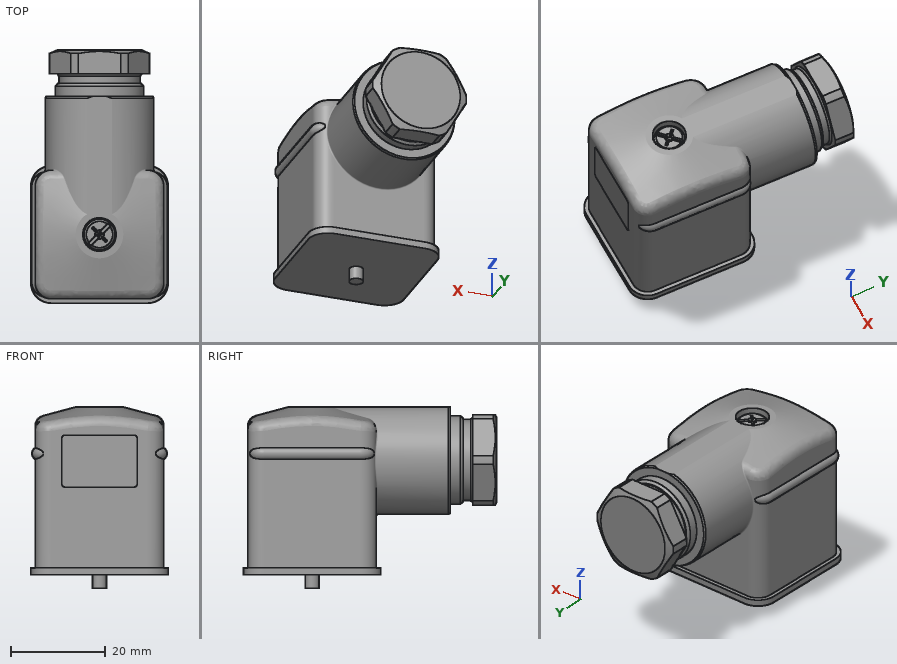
import cadquery as cq
import math


GASKET_WIDTH = 29.2
GASKET_THICKNESS = 1.5

BLOCK_WIDTH = 27.3
BLOCK_HALF = BLOCK_WIDTH / 2
BLOCK_CORNER_RADIUS = 3.45
TOP_Z = 35.65
ROOF_FLAT_RADIUS = 5.05
ROOF_SLOPE = 15.0
ROOF_EDGE_FILLET = 2.25
GASKET_CORNER_RADIUS = BLOCK_CORNER_RADIUS + (GASKET_WIDTH - BLOCK_WIDTH) / 2

SLEEVE_RADIUS = 11.55
SLEEVE_FLAT_WIDTH = 5.25
SLEEVE_END_Y = 29.35
SLEEVE_CHAMFER_LENGTH = 0.5
SLEEVE_CHAMFER_DEPTH = 0.2
SLEEVE_ROOT_FILLET = 0.25
GLAND_AXIS_Z = TOP_Z - math.sqrt(SLEEVE_RADIUS**2 - (SLEEVE_FLAT_WIDTH / 2) ** 2)

RIB_RADIUS = 1.4
RIB_Z = 25.75
RIB_PROTRUSION = 0.7
RIB_HALF_LENGTH = BLOCK_HALF - BLOCK_CORNER_RADIUS
RIB_AXIS_X = BLOCK_HALF + RIB_PROTRUSION - RIB_RADIUS
RIB_BEND_RADIUS = 1.65

LABEL_WIDTH = 16.05
LABEL_HEIGHT = 11.05
LABEL_CENTER_Z = 24.15
LABEL_THICKNESS = 0.25
LABEL_CORNER_RADIUS = 0.8

SHANK_RADIUS = 1.5
SHANK_END_Z = -2.85
HEAD_RADIUS = 3.3
HEAD_CHAMFER = 0.5
HEAD_HEIGHT = 2.15
HEAD_RECESS_DEPTH = 0.85
HEAD_HOLE_RADIUS = 3.55
HEAD_TOP_Z = TOP_Z - HEAD_RECESS_DEPTH
HEAD_SEAT_Z = HEAD_TOP_Z - HEAD_HEIGHT
SLOT_LENGTH = 5.9
SLOT_WIDTH = 0.8
SLOT_DEPTH = 0.75
SLOT_ANGLE = 45.0
CROSS_LENGTH = 4.2
CROSS_WIDTH = 0.5
CROSS_TAPER = 10.0
DRIVE_CENTER_RADIUS = 0.95
DRIVE_TIP_RADIUS = 0.25
DRIVE_DEPTH = 1.35

GLAND_END_Y = 53.75 - GASKET_WIDTH / 2
HEX_ACROSS_FLATS = 19.25
HEX_CORNER_RADIUS = 10.615
HEX_LENGTH = 5.1
HEX_FACE_RADIUS = 8.9
HEX_CHAMFER_LENGTH = 0.75
NECK_RADIUS = 8.65
NECK_CONE_RADIUS = 9.0
NECK_CONE_LENGTH = 0.45
NECK_LENGTH = 1.55
COLLAR_RADIUS = 9.4
COLLAR_CHAMFER_RADIUS = 8.85
COLLAR_CHAMFER_LENGTH = 0.65
GLAND_INSERT_DEPTH = 5.4
GLAND_INNER_Y = SLEEVE_END_Y - GLAND_INSERT_DEPTH


def z_cylinder(radius, z_low, z_high):
    return cq.Workplane("XY").workplane(offset=z_low).circle(radius).extrude(z_high - z_low)


def y_revolve(profile):
    """Turn a (radius, y) profile about the gland axis."""
    return (
        cq.Workplane("XY", origin=(0, 0, GLAND_AXIS_Z))
        .polyline(profile)
        .close()
        .revolve(360, (0, 0, 0), (0, 1, 0))
    )


def rounded_square(width, corner_radius, z_low, z_high):
    return (
        cq.Workplane("XY")
        .workplane(offset=z_low)
        .rect(width, width)
        .extrude(z_high - z_low)
        .edges("|Z")
        .fillet(corner_radius)
    )


def make_gasket():
    plate = rounded_square(GASKET_WIDTH, GASKET_CORNER_RADIUS, 0, GASKET_THICKNESS)
    return plate.cut(z_cylinder(SHANK_RADIUS, 0, GASKET_THICKNESS))


def make_block():
    """Rounded block under a conical roof with a blended roof edge."""
    roof_radius = BLOCK_WIDTH
    roof_eave_z = TOP_Z - (roof_radius - ROOF_FLAT_RADIUS) * math.tan(math.radians(ROOF_SLOPE))
    roof = (
        cq.Workplane("XZ")
        .polyline([
            (0, 0),
            (roof_radius, 0),
            (roof_radius, roof_eave_z),
            (ROOF_FLAT_RADIUS, TOP_Z),
            (0, TOP_Z),
        ])
        .close()
        .revolve(360, (0, 0, 0), (0, 1, 0))
    )
    block = rounded_square(BLOCK_WIDTH, BLOCK_CORNER_RADIUS, GASKET_THICKNESS, TOP_Z).intersect(roof)
    roof_edges = cq.selectors.BoxSelector(
        (-BLOCK_WIDTH, -BLOCK_WIDTH, TOP_Z / 2),
        (BLOCK_WIDTH, BLOCK_WIDTH, TOP_Z - ROOF_EDGE_FILLET / 2),
    )
    return block.edges(roof_edges).edges("not |Z").fillet(ROOF_EDGE_FILLET)


def make_sleeve():
    """Horizontal sleeve with a flat along its top at the roof height."""
    sleeve = y_revolve([
        (0, 0),
        (SLEEVE_RADIUS, 0),
        (SLEEVE_RADIUS, SLEEVE_END_Y - SLEEVE_CHAMFER_LENGTH),
        (SLEEVE_RADIUS - SLEEVE_CHAMFER_DEPTH, SLEEVE_END_Y),
        (0, SLEEVE_END_Y),
    ])
    below_flat = cq.Workplane("XY").box(
        2 * SLEEVE_RADIUS, 2 * SLEEVE_END_Y, TOP_Z, centered=(True, True, False)
    )
    return sleeve.intersect(below_flat)


def is_sleeve_root(edge):
    """True for an edge where the round sleeve runs into the block."""
    tolerance = 0.005
    middle = edge.positionAt(0.5)
    axis_distance = math.hypot(middle.x, middle.z - GLAND_AXIS_Z)
    return abs(axis_distance - SLEEVE_RADIUS) < tolerance and middle.y < BLOCK_HALF + tolerance


def make_shell():
    """Block and sleeve joined with a small fillet along their meeting line."""
    shell = make_block().union(make_sleeve())
    root_edges = [edge for edge in shell.edges("not |Y").vals() if is_sleeve_root(edge)]
    return shell.newObject(root_edges).fillet(SLEEVE_ROOT_FILLET)


def make_rib():
    """Round bar along the +X wall whose ends turn into the block corners."""
    rib = (
        cq.Workplane("XZ", origin=(RIB_AXIS_X, RIB_HALF_LENGTH, RIB_Z))
        .circle(RIB_RADIUS)
        .extrude(2 * RIB_HALF_LENGTH)
    )
    for end in (1, -1):
        bend = (
            cq.Workplane("XZ", origin=(RIB_AXIS_X, end * RIB_HALF_LENGTH, RIB_Z))
            .circle(RIB_RADIUS)
            .revolve(90, (-RIB_BEND_RADIUS, 0, 0), (-RIB_BEND_RADIUS, end, 0))
        )
        rib = rib.union(bend)
    return rib


def make_label():
    return (
        cq.Workplane("XZ", origin=(0, -BLOCK_HALF + LABEL_THICKNESS, LABEL_CENTER_Z))
        .rect(LABEL_WIDTH, LABEL_HEIGHT)
        .extrude(LABEL_THICKNESS)
        .edges("|Y")
        .fillet(LABEL_CORNER_RADIUS)
    )


def make_housing(label):
    rib = make_rib()
    housing = make_shell().union(rib).union(rib.mirror("YZ"))
    gland_socket = y_revolve([
        (0, GLAND_INNER_Y),
        (COLLAR_RADIUS, GLAND_INNER_Y),
        (COLLAR_RADIUS, SLEEVE_END_Y),
        (0, SLEEVE_END_Y),
    ])
    return (
        housing.cut(gland_socket)
        .cut(z_cylinder(SHANK_RADIUS, GASKET_THICKNESS, TOP_Z))
        .cut(z_cylinder(HEAD_HOLE_RADIUS, HEAD_SEAT_Z, TOP_Z))
        .cut(label)
    )


def make_screw():
    """Screw with a chamfered head and a combined slot and cross drive."""
    head = z_cylinder(HEAD_RADIUS, HEAD_SEAT_Z, HEAD_TOP_Z).faces(">Z").edges().chamfer(HEAD_CHAMFER)
    screw = head.union(z_cylinder(SHANK_RADIUS, SHANK_END_Z, HEAD_SEAT_Z))
    drive = cq.Workplane("XY").workplane(offset=HEAD_TOP_Z)
    slot = drive.rect(SLOT_LENGTH, SLOT_WIDTH).extrude(-SLOT_DEPTH)
    cross = drive.rect(CROSS_WIDTH, CROSS_LENGTH).extrude(-SLOT_DEPTH, taper=CROSS_TAPER)
    center = (
        drive.circle(DRIVE_CENTER_RADIUS)
        .workplane(offset=-DRIVE_DEPTH)
        .circle(DRIVE_TIP_RADIUS)
        .loft()
    )
    cutter = slot.union(cross).union(center).rotate((0, 0, 0), (0, 0, 1), SLOT_ANGLE)
    return screw.cut(cutter)


def make_gland():
    """Gland nut: hexagon head, neck and collar turned about one axis."""
    hex_back_y = GLAND_END_Y - HEX_LENGTH
    neck_start_y = hex_back_y - NECK_CONE_LENGTH
    neck_end_y = neck_start_y - NECK_LENGTH
    stem = y_revolve([
        (0, GLAND_INNER_Y),
        (COLLAR_RADIUS, GLAND_INNER_Y),
        (COLLAR_RADIUS, neck_end_y - COLLAR_CHAMFER_LENGTH),
        (COLLAR_CHAMFER_RADIUS, neck_end_y),
        (NECK_RADIUS, neck_end_y),
        (NECK_RADIUS, neck_start_y),
        (NECK_CONE_RADIUS, hex_back_y),
        (0, hex_back_y),
    ])
    hexagon = (
        cq.Workplane("XZ", origin=(0, GLAND_END_Y, GLAND_AXIS_Z))
        .polygon(6, HEX_ACROSS_FLATS / math.cos(math.radians(30)))
        .extrude(HEX_LENGTH)
    )
    turned_blank = y_revolve([
        (0, hex_back_y),
        (HEX_CORNER_RADIUS, hex_back_y),
        (HEX_CORNER_RADIUS, GLAND_END_Y - HEX_CHAMFER_LENGTH),
        (HEX_FACE_RADIUS, GLAND_END_Y),
        (0, GLAND_END_Y),
    ])
    return stem.union(hexagon.intersect(turned_blank))


gasket = make_gasket()
label = make_label()
housing = make_housing(label)
screw = make_screw()
gland = make_gland()

result = cq.Compound.makeCompound([
    gasket.val(),
    label.val(),
    housing.val(),
    screw.val(),
    gland.val(),
])